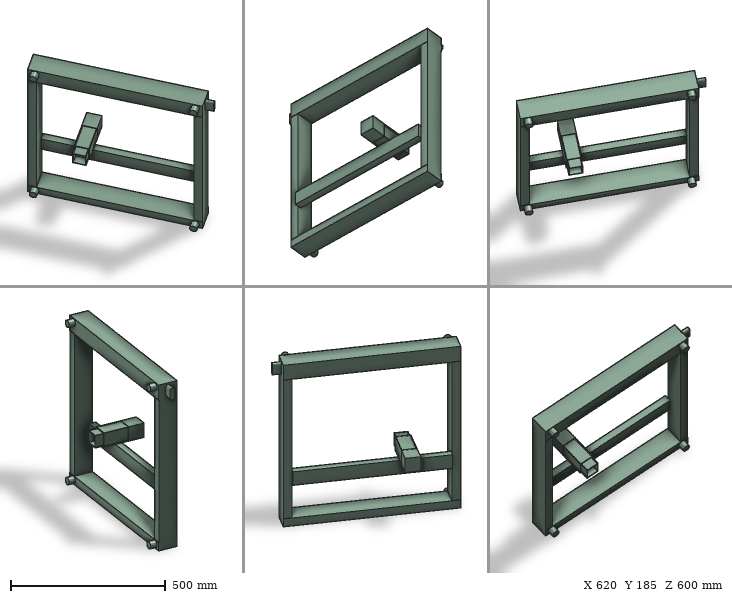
import cadquery as cq

overall_x = 620.0
overall_y = 185.0
frame_height = 600.0

frame_width = 590.0
member_width = 30.0
top_beam_height = 55.0
beam_depth = 69.0
post_recess = 1.0

peg_length = 23.0
peg_base_radius = 13.5
peg_tip_radius = 12.5
peg_side_inset = 25.0
peg_end_inset = 15.5

stub_height = 44.0
stub_thickness = 16.0

crossbar_bottom = 157.0
crossbar_height = 50.0
crossbar_depth = 25.0
crossbar_overhang = 11.0

arm_left = 154.0
arm_size = 52.0
block_length = 57.5
sleeve_length = 92.0
sleeve_wall = 3.0
tube_wall = 2.5
tube_front = 4.5

beam_front = peg_length
beam_back = beam_front + beam_depth
beam_middle = beam_front + beam_depth / 2
crossbar_back = beam_back + crossbar_overhang
top_beam_bottom = frame_height - top_beam_height
right_post_left = frame_width - member_width
arm_center_x = arm_left + arm_size / 2
arm_center_z = crossbar_bottom + crossbar_height + arm_size / 2
block_front = overall_y - block_length
sleeve_front = block_front - sleeve_length
tube_size = arm_size - 2 * sleeve_wall


def box_between(low, high):
    """Box spanning two opposite corners."""
    size = [b - a for a, b in zip(low, high)]
    return cq.Workplane("XY").box(*size, centered=False).translate(tuple(low))


def square_bar(size, front, back):
    """Square bar on the arm axis, running along Y."""
    half = size / 2
    return box_between(
        (arm_center_x - half, front, arm_center_z - half),
        (arm_center_x + half, back, arm_center_z + half),
    )


def make_frame():
    """Two beams joined by two slightly thinner posts."""
    frame = box_between((0, beam_front, 0), (frame_width, beam_back, member_width))
    frame = frame.union(
        box_between((0, beam_front, top_beam_bottom), (frame_width, beam_back, frame_height))
    )
    for left in (0, right_post_left):
        post = box_between(
            (left, beam_front + post_recess, member_width),
            (left + member_width, beam_back - post_recess, top_beam_bottom),
        )
        frame = frame.union(post)
    return frame


def make_peg(x, z):
    """Peg narrowing from the beam face to its tip."""
    base_center = cq.Vector(x, beam_front, z)
    return cq.Solid.makeCone(
        peg_base_radius, peg_tip_radius, peg_length, base_center, cq.Vector(0, -1, 0)
    )


def make_stub():
    """Upright slot profile extruded from the beam end."""
    beam_middle_z = top_beam_bottom + top_beam_height / 2
    return (
        cq.Workplane("YZ", origin=(frame_width, beam_middle, beam_middle_z))
        .slot2D(stub_height, stub_thickness, 90)
        .extrude(overall_x - frame_width)
    )


def make_crossbar():
    return box_between(
        (member_width, crossbar_back - crossbar_depth, crossbar_bottom),
        (right_post_left, crossbar_back, crossbar_bottom + crossbar_height),
    )


def make_arm_block():
    return square_bar(arm_size, block_front, overall_y)


def make_arm_sleeve():
    sleeve = square_bar(arm_size, sleeve_front, block_front)
    return sleeve.cut(square_bar(tube_size, sleeve_front, block_front))


def make_arm_tube():
    """Thin tube filling the sleeve and reaching out in front of it."""
    tube = square_bar(tube_size, tube_front, block_front)
    return tube.cut(square_bar(tube_size - 2 * tube_wall, tube_front, block_front))


frame = make_frame()
stub = make_stub()
crossbar = make_crossbar()
arm_block = make_arm_block()
arm_sleeve = make_arm_sleeve()
arm_tube = make_arm_tube()

pegs = []
for peg_x in (peg_side_inset, frame_width - peg_side_inset):
    for peg_z in (peg_end_inset, frame_height - peg_end_inset):
        pegs.append(make_peg(peg_x, peg_z))

result = cq.Compound.makeCompound([
    frame.val(),
    stub.val(),
    crossbar.val(),
    arm_block.val(),
    arm_sleeve.val(),
    arm_tube.val(),
    *pegs,
])